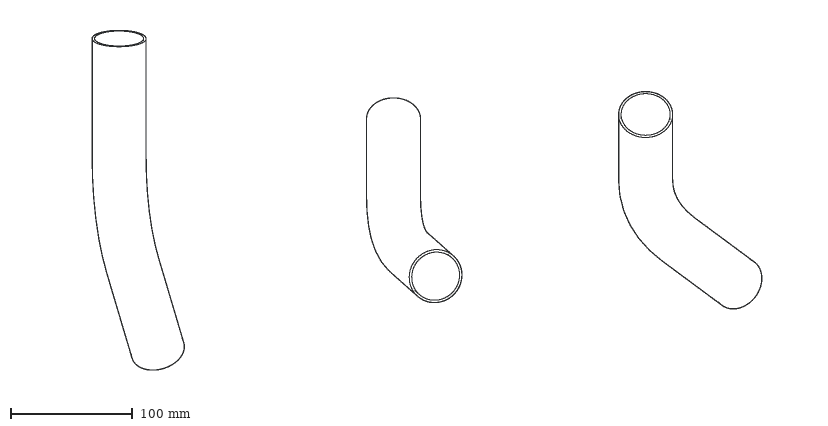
import cadquery as cq
import math

outer_diameter = 44.5
inner_diameter = 40.2
leg_length = 101.3
bend_radius = 204.5
bend_angle = 30


def bend_point(angle):
    """Centreline point (Y, Z) at an angle in degrees into the bend, which starts at the origin."""
    turn = math.radians(angle)
    return (bend_radius * (1 - math.cos(turn)), -bend_radius * math.sin(turn))


bend_middle = bend_point(bend_angle / 2)
bend_end = bend_point(bend_angle)
lower_end = (
    bend_end[0] + leg_length * math.sin(math.radians(bend_angle)),
    bend_end[1] - leg_length * math.cos(math.radians(bend_angle)),
)
centreline = (
    cq.Workplane("YZ")
    .moveTo(0, leg_length)
    .lineTo(0, 0)
    .threePointArc(bend_middle, bend_end)
    .lineTo(*lower_end)
)

result = (
    cq.Workplane("XY", origin=(0, 0, leg_length))
    .circle(outer_diameter / 2)
    .circle(inner_diameter / 2)
    .sweep(centreline)
)